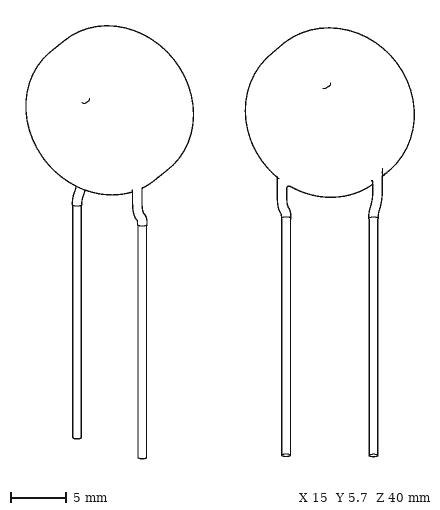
import cadquery as cq
import math

body_diameter = 15.0
body_thickness = 5.2
body_edge_radius = 1.0

total_height = 40.0
bare_diameter = 0.8
coated_diameter = 0.9
lead_pitch_x = body_diameter / 2
lead_gap_y = 2.5
overall_depth = 5.7

tip_x = -1.1
tip_z = 1.5
face_bend_radius = 2.4
face_bend_start_z = -5.75

step_start_z = -7.7
step_upper_radius = 1.85
step_lower_radius = 0.85
collar_length = 0.1
collar_taper_length = 0.1

joint_fillet = 0.2
contact_tolerance = 0.0005

lead_x = lead_pitch_x / 2
face_y = -(overall_depth - coated_diameter) / 2
lower_y = -lead_gap_y / 2
bottom_z = body_diameter / 2 - total_height

step_angle = math.acos(1 - (lower_y - face_y) / (step_upper_radius + step_lower_radius))
step_end_z = step_start_z - (step_upper_radius + step_lower_radius) * math.sin(step_angle)

bend_center_x = lead_x - face_bend_radius
to_tip_x = tip_x - bend_center_x
to_tip_z = tip_z - face_bend_start_z
bend_angle = math.atan2(to_tip_z, to_tip_x) - math.acos(face_bend_radius / math.hypot(to_tip_x, to_tip_z))
diagonal_direction = cq.Vector(math.sin(bend_angle), 0, -math.cos(bend_angle))


def make_body():
    back_face = cq.Workplane("XZ", origin=(0, body_thickness / 2, 0))
    disc = back_face.circle(body_diameter / 2).extrude(body_thickness)
    return disc.edges().fillet(body_edge_radius)


def face_bend_point(angle):
    return cq.Vector(
        bend_center_x + face_bend_radius * math.cos(angle),
        face_y,
        face_bend_start_z + face_bend_radius * math.sin(angle),
    )


def upper_step_point(angle):
    return cq.Vector(
        lead_x,
        face_y + step_upper_radius * (1 - math.cos(angle)),
        step_start_z - step_upper_radius * math.sin(angle),
    )


def lower_step_point(angle):
    return cq.Vector(
        lead_x,
        lower_y - step_lower_radius * (1 - math.cos(angle)),
        step_end_z + step_lower_radius * math.sin(angle),
    )


def make_lower_wire():
    length = step_end_z - bottom_z
    wire = cq.Solid.makeCylinder(bare_diameter / 2, length, cq.Vector(lead_x, lower_y, bottom_z))
    return cq.Workplane(obj=wire)


def make_collar_taper():
    top = lower_step_point(0) - cq.Vector(0, 0, collar_length)
    down = cq.Vector(0, 0, -1)
    cone = cq.Solid.makeCone(coated_diameter / 2, bare_diameter / 2, collar_taper_length, top, down)
    return cq.Workplane(obj=cone)


def make_coating(start):
    bend_end = face_bend_point(0)
    step_start = upper_step_point(0)
    step_middle = upper_step_point(step_angle)
    step_end = lower_step_point(0)
    collar_end = step_end - cq.Vector(0, 0, collar_length)
    path = cq.Wire.assembleEdges([
        cq.Edge.makeLine(start, face_bend_point(bend_angle)),
        cq.Edge.makeThreePointArc(face_bend_point(bend_angle), face_bend_point(bend_angle / 2), bend_end),
        cq.Edge.makeLine(bend_end, step_start),
        cq.Edge.makeThreePointArc(step_start, upper_step_point(step_angle / 2), step_middle),
        cq.Edge.makeThreePointArc(step_middle, lower_step_point(step_angle / 2), step_end),
        cq.Edge.makeLine(step_end, collar_end),
    ])
    section = cq.Plane(origin=start, normal=diagonal_direction)
    return cq.Workplane(section).circle(coated_diameter / 2).sweep(path)


def make_lead():
    tip = cq.Vector(tip_x, face_y, tip_z)
    return make_coating(tip).union(make_collar_taper()).union(make_lower_wire())


def joint_edges(fused, first, second):
    """Edges of the fused solid along which the skins of both parts meet."""

    def on_both_skins(edge):
        middle = cq.Vertex.makeVertex(*edge.positionAt(0.5).toTuple())
        return all(part.val().Shells()[0].distance(middle) < contact_tolerance for part in (first, second))

    return [edge for edge in fused.edges().vals() if on_both_skins(edge)]


def add_lead(body, lead):
    fused = body.union(lead)
    return fused.newObject(joint_edges(fused, body, lead)).fillet(joint_fillet)


front_lead = make_lead()
back_lead = front_lead.rotate((0, 0, 0), (0, 0, 1), 180)
result = add_lead(add_lead(make_body(), front_lead), back_lead)